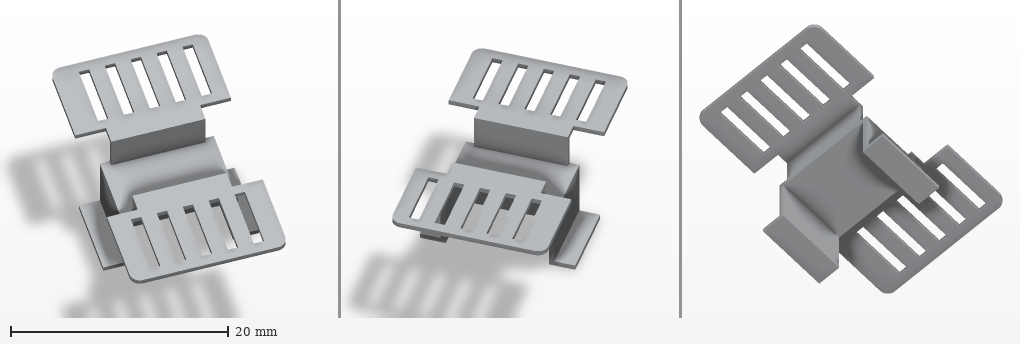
import cadquery as cq

length = 26.0
width = 15.0
height = 9.5
sheet = 0.5

saddle_width = 7.6
saddle_depth = 10.97
saddle_top = 6.0

wing_inner_x = 5.0
neck_depth = 9.07
corner_radius = 1.0

slot_length = 6.0
slot_width = 1.0
slot_pitch = 2.5
slot_count = 5
left_slot_margin = 1.01
right_slot_margin = 1.1
left_slot_x = -length / 2 + left_slot_margin + slot_length / 2
left_slot_y = 0.5
right_slot_x = length / 2 - right_slot_margin - slot_length / 2
right_slot_y = 0.0


def block(x_range, y_range, z_range):
    """Box spanning the given pairs of limits, in either order."""
    ranges = [sorted(limits) for limits in (x_range, y_range, z_range)]
    sizes = [high - low for low, high in ranges]
    corner = tuple(low for low, high in ranges)
    return cq.Workplane("XY").box(*sizes, centered=False).translate(corner)


def saddle():
    """Flat deck with a leg and an outward foot on each Y side."""
    half_x = saddle_width / 2
    half_y = saddle_depth / 2
    across = (-half_x, half_x)
    body = block(across, (-half_y, half_y), (saddle_top - sheet, saddle_top))
    for side in (-1, 1):
        leg_outer = side * half_y
        leg_inner = side * (half_y - sheet)
        leg = block(across, (leg_inner, leg_outer), (0, saddle_top))
        foot = block(across, (leg_inner, side * width / 2), (0, sheet))
        body = body.union(leg).union(foot)
    return body


def wing(side, slot_x, slot_y):
    """Slotted plate with its neck and the wall down to the saddle."""
    top_limits = (height - sheet, height)
    neck_limits = (-neck_depth / 2, neck_depth / 2)
    wall_outer = side * saddle_width / 2
    wall_inner = side * (saddle_width / 2 - sheet)
    plate = block((side * wing_inner_x, side * length / 2), (-width / 2, width / 2), top_limits)
    plate = plate.edges("|Z and >X" if side > 0 else "|Z and <X").fillet(corner_radius)
    slots = (
        cq.Workplane("XY", origin=(slot_x, slot_y, height - sheet))
        .rarray(0.25, slot_pitch, 1, slot_count)
        .rect(slot_length, slot_width)
        .extrude(sheet)
    )
    neck = block((wall_inner, side * wing_inner_x), neck_limits, top_limits)
    wall = block((wall_inner, wall_outer), neck_limits, (saddle_top - sheet, height))
    return plate.cut(slots).union(neck).union(wall)


left_wing = wing(-1, left_slot_x, left_slot_y)
right_wing = wing(1, right_slot_x, right_slot_y)
result = saddle().union(left_wing).union(right_wing)